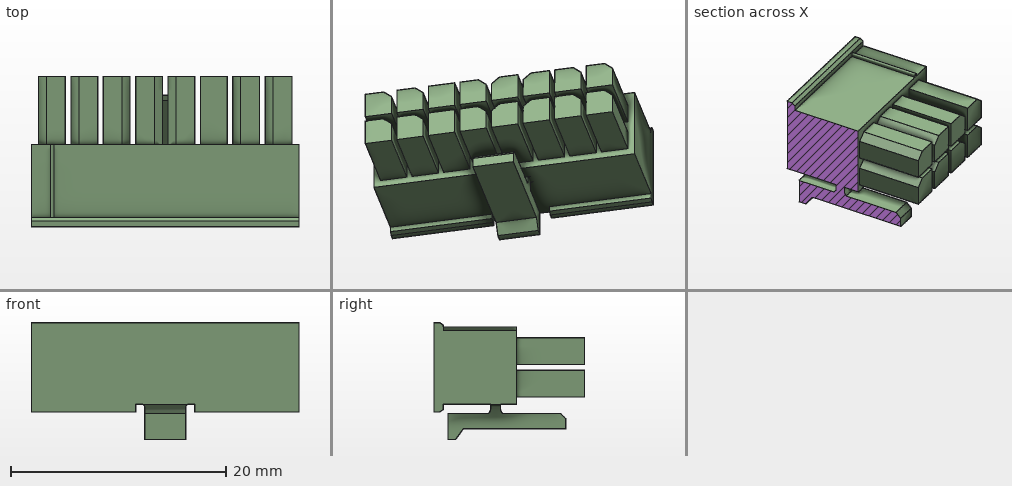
import cadquery as cq

WIDTH = 24.85
DEPTH = 14.0
HEIGHT = 10.85

FLANGE_HEIGHT = 8.3
FLANGE_THICKNESS = 0.87
FLANGE_CHAMFER_Y = 0.32
FLANGE_CHAMFER_Z = 0.22
NOTCH_WIDTH = 5.47

BODY_TOP = -0.72
BODY_BOTTOM = -7.58
BODY_BACK = 7.68

RIB_OFFSET = 1.8
RIB_WIDTH = 0.3
RIB_HEIGHT = 0.32

PITCH = 3.0
BARREL_SIZE = 2.5
UPPER_BARREL_TOP = -1.4
BARREL_CHAMFER_X = 0.75
BARREL_CHAMFER_Z = 0.65
ROW_COUNT = 2
CHAMFER_SIDES = ("left", "left", "right", "right", "left", "none", "left", "left")

LATCH_WIDTH = 3.85
LATCH_FRONT = 1.3
LATCH_BACK = 12.25
LEVER_TOP = -8.42
LEVER_THICKNESS = 1.45
TAIL_CHAMFER = 0.5
HOOK_TIP_LENGTH = 0.72
HOOK_SLOPE_LENGTH = 0.72
STEM_FRONT = 5.27
STEM_BACK = 6.2
STEM_FOOT_FLARE = 0.2
STEM_FOOT_HEIGHT = 0.5
STEM_TOP_RADIUS = 0.25


def block(x_range, y_range, z_range):
    """Box given by its limits along each axis."""
    (x0, x1), (y0, y1), (z0, z1) = x_range, y_range, z_range
    return cq.Workplane("XY").box(x1 - x0, y1 - y0, z1 - z0, centered=False).translate((x0, y0, z0))


def make_flange():
    """Front plate with chamfered rear edges and a notch above the latch hook."""
    chamfer_start = FLANGE_THICKNESS - FLANGE_CHAMFER_Y
    outline = [
        (0, 0),
        (chamfer_start, 0),
        (FLANGE_THICKNESS, -FLANGE_CHAMFER_Z),
        (FLANGE_THICKNESS, FLANGE_CHAMFER_Z - FLANGE_HEIGHT),
        (chamfer_start, -FLANGE_HEIGHT),
        (0, -FLANGE_HEIGHT),
    ]
    flange = cq.Workplane("YZ", origin=(-WIDTH / 2, 0, 0)).polyline(outline).close().extrude(WIDTH)
    notch = block(
        (-NOTCH_WIDTH / 2, NOTCH_WIDTH / 2), (0, FLANGE_THICKNESS), (-FLANGE_HEIGHT, BODY_BOTTOM)
    )
    return flange.cut(notch)


def make_body():
    """Solid block with a round-topped rib near its -X side."""
    body = block((-WIDTH / 2, WIDTH / 2), (0, BODY_BACK), (BODY_BOTTOM, BODY_TOP))
    rib_left = -WIDTH / 2 + RIB_OFFSET
    rib_right = rib_left + RIB_WIDTH
    rib_top = BODY_TOP + RIB_HEIGHT
    round_start = rib_top - RIB_WIDTH / 2
    rib = (
        cq.Workplane("XZ")
        .moveTo(rib_left, BODY_BOTTOM)
        .lineTo(rib_left, round_start)
        .threePointArc(((rib_left + rib_right) / 2, rib_top), (rib_right, round_start))
        .lineTo(rib_right, BODY_BOTTOM)
        .close()
        .extrude(-BODY_BACK)
    )
    return body.union(rib)


def make_barrel(center_x, top_z, chamfer_side):
    """Square barrel with at most one chamfered top corner."""
    left = center_x - BARREL_SIZE / 2
    right = center_x + BARREL_SIZE / 2
    bottom_z = top_z - BARREL_SIZE
    outline = [(left, bottom_z), (right, bottom_z)]
    if chamfer_side == "right":
        outline += [(right, top_z - BARREL_CHAMFER_Z), (right - BARREL_CHAMFER_X, top_z)]
    else:
        outline += [(right, top_z)]
    if chamfer_side == "left":
        outline += [(left + BARREL_CHAMFER_X, top_z), (left, top_z - BARREL_CHAMFER_Z)]
    else:
        outline += [(left, top_z)]
    barrel_plane = cq.Workplane("XZ", origin=(0, BODY_BACK, 0))
    return barrel_plane.polyline(outline).close().extrude(BODY_BACK - DEPTH)


def make_stem_half(stem_y, outward):
    """Half of the stem with a concave flare at its foot; outward is -1 or +1 along Y."""
    middle_y = (STEM_FRONT + STEM_BACK) / 2
    return (
        cq.Workplane("YZ", origin=(-LATCH_WIDTH / 2, 0, 0))
        .moveTo(middle_y, BODY_BOTTOM)
        .lineTo(stem_y, BODY_BOTTOM)
        .lineTo(stem_y, LEVER_TOP + STEM_FOOT_HEIGHT)
        .tangentArcPoint((stem_y + outward * STEM_FOOT_FLARE, LEVER_TOP), relative=False)
        .lineTo(middle_y, LEVER_TOP)
        .close()
        .extrude(LATCH_WIDTH)
    )


def make_stem_top():
    """Top of the stem, widening along X in concave fillets that meet the underside of the body."""
    half_width = LATCH_WIDTH / 2
    fillet_bottom = BODY_BOTTOM - STEM_TOP_RADIUS
    outer_x = half_width + STEM_TOP_RADIUS
    top = block((-outer_x, outer_x), (STEM_FRONT, STEM_BACK), (fillet_bottom, BODY_BOTTOM))
    hollows = (
        cq.Workplane("XZ", origin=(0, STEM_FRONT, 0))
        .pushPoints([(-outer_x, fillet_bottom), (outer_x, fillet_bottom)])
        .circle(STEM_TOP_RADIUS)
        .extrude(STEM_FRONT - STEM_BACK)
    )
    return top.cut(hollows)


def make_latch():
    """Lever with a hook at the front, hung from the body by a flared stem."""
    lever_bottom = LEVER_TOP - LEVER_THICKNESS
    slope_start = LATCH_FRONT + HOOK_TIP_LENGTH
    outline = [
        (LATCH_FRONT, LEVER_TOP),
        (LATCH_FRONT, -HEIGHT),
        (slope_start, -HEIGHT),
        (slope_start + HOOK_SLOPE_LENGTH, lever_bottom),
        (LATCH_BACK, lever_bottom),
        (LATCH_BACK, LEVER_TOP - TAIL_CHAMFER),
        (LATCH_BACK - TAIL_CHAMFER, LEVER_TOP),
    ]
    latch_plane = cq.Workplane("YZ", origin=(-LATCH_WIDTH / 2, 0, 0))
    latch = latch_plane.polyline(outline).close().extrude(LATCH_WIDTH)
    for stem_y, outward in ((STEM_FRONT, -1), (STEM_BACK, 1)):
        latch = latch.union(make_stem_half(stem_y, outward))
    return latch.union(make_stem_top())


result = make_flange().union(make_body()).union(make_latch())
for row in range(ROW_COUNT):
    for column, chamfer_side in enumerate(CHAMFER_SIDES):
        barrel_x = (column - (len(CHAMFER_SIDES) - 1) / 2) * PITCH
        barrel_top = UPPER_BARREL_TOP - row * PITCH
        result = result.union(make_barrel(barrel_x, barrel_top, chamfer_side))